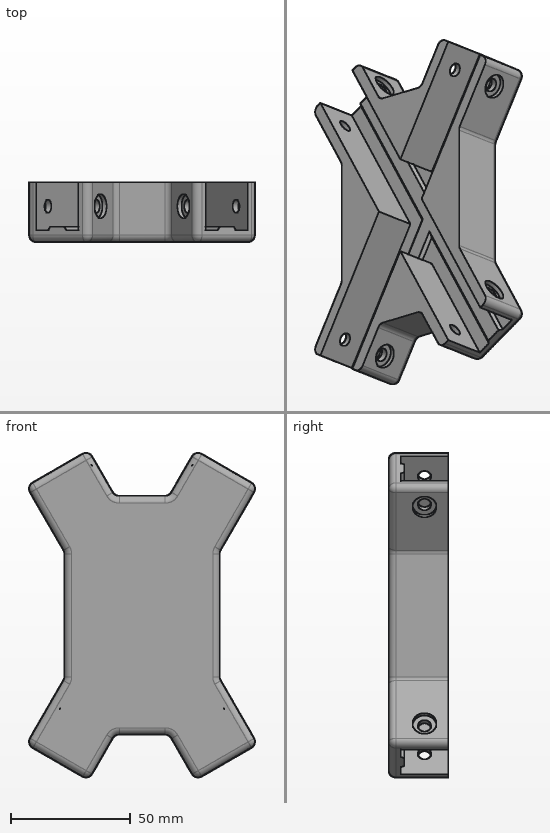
import cadquery as cq

height = 25.0
body_width = 64.9
body_length = 99.7
floor_thickness = 5.0
edge_radius = 3.0

arm_tilt = 30.0
arm_reach = 70.73
arm_width = 30.0
arm_shift = 0.12
channel_width = 20.4

rib_base = 8.8
rib_top = 6.5
rib_height = 1.5
rib_root = 1.0

hole_from_end = 10.0
hole_diameter = 5.5
counterbore_diameter = 10.0
counterbore_depth = 2.0
hole_height = floor_thickness + (height - floor_thickness) / 2

ARM_SIDES = [(1, 1), (1, -1), (-1, 1), (-1, -1)]


def place_arm(shape, x_side, z_side):
    """Turn a shape built along +Z into one of the four arm positions."""
    placed = shape.rotate((0, 0, 0), (0, 1, 0), arm_tilt)
    if x_side < 0:
        placed = placed.mirror("YZ")
    if z_side < 0:
        placed = placed.mirror("XY")
    return placed


def bar(width, start):
    """Straight bar from the part centre to the arm end, from Y = start to the back."""
    shape = cq.Workplane("XY").box(width, height - start, arm_reach, centered=(True, False, False))
    return shape.translate((0, start, 0))


def outer_body():
    shape = cq.Workplane("XY").box(body_width, height, body_length, centered=(True, False, True))
    arm = bar(arm_width, 0).translate((-arm_shift, 0, 0))
    for sides in ARM_SIDES:
        shape = shape.union(place_arm(arm, *sides))
    shape = shape.edges("|Y").fillet(edge_radius)
    return shape.faces("<Y").edges().fillet(edge_radius)


def rib():
    half_base = rib_base / 2
    half_top = rib_top / 2
    profile = [
        (-half_base, floor_thickness - rib_root),
        (-half_base, floor_thickness),
        (-half_top, floor_thickness + rib_height),
        (half_top, floor_thickness + rib_height),
        (half_base, floor_thickness),
        (half_base, floor_thickness - rib_root),
    ]
    return cq.Workplane("XY").polyline(profile).close().extrude(arm_reach)


def screw_holes():
    """Cross hole through both walls of an arm, counterbored from outside on each wall."""
    near_wall = -arm_width / 2 - arm_shift
    axis_plane = cq.Workplane("YZ", origin=(near_wall, hole_height, arm_reach - hole_from_end))
    through_hole = axis_plane.circle(hole_diameter / 2).extrude(arm_width)
    counterbore = axis_plane.circle(counterbore_diameter / 2).extrude(counterbore_depth)
    far_counterbore = counterbore.translate((arm_width - counterbore_depth, 0, 0))
    return through_hole.union(counterbore).union(far_counterbore)


result = outer_body()
for sides in ARM_SIDES:
    result = result.cut(place_arm(bar(channel_width, floor_thickness), *sides))
    result = result.cut(place_arm(screw_holes(), *sides))
for sides in ARM_SIDES:
    result = result.union(place_arm(rib(), *sides))